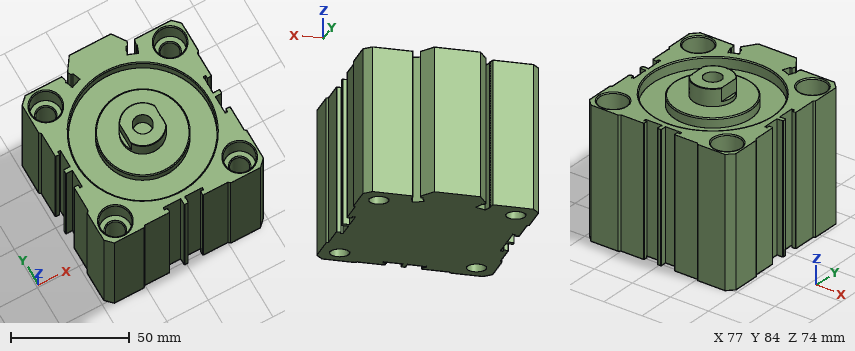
import cadquery as cq
import math

width = 77.0
depth = 84.0
overall_height = 74.0
housing_height = 66.0
half_width = width / 2
corner_chamfer = 3.3
plain_sides = 3

rail_half_width = 10.1
rail_face = depth - half_width

relief_depth = 0.8
relief_half_length = 20.9
relief_half_floor = relief_half_length - relief_depth

slot_mouth_half = 8.0
slot_floor_half = 9.4
slot_floor = 34.5
lip_inside = 35.6
rib_half = 1.0
slot_edge_chamfer = 0.25

groove_points = [
    (17.55, half_width),
    (16.9, 35.9),
    (17.3, 35.7),
    (16.0, 32.1),
    (11.4, 33.85),
    (12.8, 37.3),
    (13.7, 37.5),
    (14.4, 38.9),
    (14.4, 39.2),
]

hole_spacing = 60.0
hole_diameter = 8.5
hole_chamfer = 0.5
counterbore_diameter = 14.0
counterbore_depth = 10.5
counterbore_chamfer = 0.5

recess_radius = 31.3
recess_depth = 5.4
recess_chamfer = 0.5
collar_radius = 20.0
collar_drop = 0.7
collar_chamfer = 0.5
collar_top = housing_height - collar_drop

rod_radius = 10.0
rod_length = overall_height - collar_top
rod_chamfer = 0.25
rod_bore_diameter = 8.8
flat_spacing = 17.0
flat_length = 6.6


def plain_side():
    """Points along the left side, from its upper corner chamfer to its lower one."""
    relief = half_width - relief_depth
    slot_edge = -relief + slot_edge_chamfer
    upper = [
        (-half_width, half_width - corner_chamfer),
        (-half_width, relief_half_length),
        (-relief, relief_half_floor),
        (-relief, slot_mouth_half + slot_edge_chamfer),
        (slot_edge, slot_mouth_half),
        (-lip_inside, slot_mouth_half),
        (-lip_inside, slot_floor_half),
        (-slot_floor, slot_floor_half),
        (-slot_floor, rib_half),
        (slot_edge, rib_half),
        (-relief, rib_half - slot_edge_chamfer),
    ]
    lower = [(x, -y) for x, y in reversed(upper)]
    return upper + lower


def rotated(points, angle):
    """Rotate points about the bore axis by an angle in degrees."""
    c = math.cos(math.radians(angle))
    s = math.sin(math.radians(angle))
    return [(c * x - s * y, s * x + c * y) for x, y in points]


def railed_side():
    """Points along the railed side, from its right corner chamfer to its left one."""
    right = [(half_width - corner_chamfer, half_width)] + groove_points + [(rail_half_width, rail_face)]
    left = [(-x, y) for x, y in reversed(right)]
    return right + left


def housing_block():
    outline = railed_side()
    for quarter_turns in range(plain_sides):
        outline += rotated(plain_side(), 90 * quarter_turns)
    return cq.Workplane("XY").polyline(outline).close().extrude(housing_height)


def turned_solid(profile):
    """Revolve a closed (radius, height) profile about the Z axis."""
    return cq.Workplane("XZ").polyline(profile).close().revolve(360, (0, 0, 0), (0, 1, 0))


def front_recess():
    """Ring-shaped cutter that leaves the chamfered collar standing in the recess."""
    floor = housing_height - recess_depth
    return turned_solid([
        (0, collar_top),
        (collar_radius - collar_chamfer, collar_top),
        (collar_radius, collar_top - collar_chamfer),
        (collar_radius, floor),
        (recess_radius, floor),
        (recess_radius, housing_height - recess_chamfer),
        (recess_radius + recess_chamfer, housing_height),
        (0, housing_height),
    ])


def mounting_hole(x, y):
    """Stepped cutter for one through hole with chamfered hole and counterbore rims."""
    hole_radius = hole_diameter / 2
    counterbore_radius = counterbore_diameter / 2
    seat = housing_height - counterbore_depth
    return turned_solid([
        (0, 0),
        (hole_radius, 0),
        (hole_radius, seat - hole_chamfer),
        (hole_radius + hole_chamfer, seat),
        (counterbore_radius, seat),
        (counterbore_radius, housing_height - counterbore_chamfer),
        (counterbore_radius + counterbore_chamfer, housing_height),
        (0, housing_height),
    ]).translate((x, y, 0))


def make_housing():
    housing = housing_block().cut(front_recess())
    offset = hole_spacing / 2
    for x in (-offset, offset):
        for y in (-offset, offset):
            housing = housing.cut(mounting_hole(x, y))
    return housing


def make_rod():
    rod = (
        cq.Workplane("XY", origin=(0, 0, collar_top))
        .circle(rod_radius)
        .extrude(rod_length)
        .faces(">Z")
        .chamfer(rod_chamfer)
    )
    rod_diameter = 2 * rod_radius
    kept_between_flats = (
        cq.Workplane("XY", origin=(0, 0, overall_height - flat_length))
        .rect(flat_spacing, rod_diameter)
        .extrude(flat_length)
    )
    flat_cutter = (
        cq.Workplane("XY", origin=(0, 0, overall_height - flat_length))
        .rect(rod_diameter, rod_diameter)
        .extrude(flat_length)
        .cut(kept_between_flats)
    )
    rod_bore = (
        cq.Workplane("XY", origin=(0, 0, collar_top))
        .circle(rod_bore_diameter / 2)
        .extrude(rod_length)
    )
    return rod.cut(flat_cutter).cut(rod_bore)


housing = make_housing()
piston_rod = make_rod()

result = cq.Compound.makeCompound([housing.val(), piston_rod.val()])